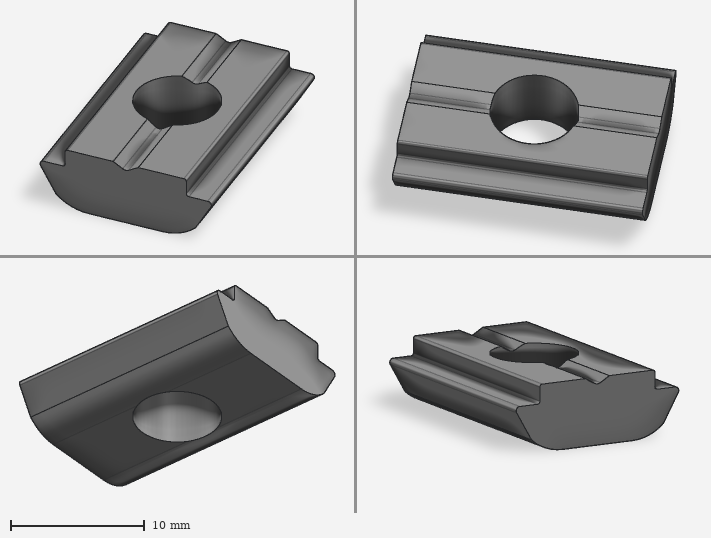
import cadquery as cq
import math

length = 19.0
width = 14.0
height = 5.2
neck_half_width = 4.95
neck_height = 1.5
neck_round = 0.2
flange_round = 0.3
flank_angle = math.radians(60)
base_half_width = 3.0
base_round = 3.99
groove_half_width = 1.03
groove_slope = math.radians(30)
groove_round = 0.5
hole_diameter = 6.65

half_width = width / 2
shoulder_z = height - neck_height


def flank_x(z):
    """Half width of the sloping flank at height z, tangent to the flange rounding."""
    center_x = half_width - flange_round
    center_z = shoulder_z - flange_round
    return center_x + flange_round / math.sin(flank_angle) + (z - center_z) / math.tan(flank_angle)


def base_corner_angle():
    """Angle swept by the base arc from the bottom up to where it meets the flank."""
    flank_distance = (flank_x(base_round) - base_half_width) * math.sin(flank_angle)
    return flank_angle - math.acos(flank_distance / base_round)


def base_arc_point(angle):
    """Point on the base arc, with the angle measured from its lowest point."""
    x = base_half_width + base_round * math.sin(angle)
    z = base_round * (1 - math.cos(angle))
    return x, z


def mirrored(point):
    return -point[0], point[1]


def make_body():
    corner_angle = base_corner_angle()
    corner = base_arc_point(corner_angle)
    arc_middle = base_arc_point(corner_angle / 2)
    flange_tip = (flank_x(shoulder_z), shoulder_z)
    neck_foot = (neck_half_width, shoulder_z)
    neck_top = (neck_half_width, height)
    groove_edge = (groove_half_width, height)
    groove_bottom = (0, height - groove_half_width * math.tan(groove_slope))

    body = (
        cq.Workplane("XZ")
        .moveTo(-base_half_width, 0)
        .lineTo(base_half_width, 0)
        .threePointArc(arc_middle, corner)
        .lineTo(*flange_tip)
        .lineTo(*neck_foot)
        .lineTo(*neck_top)
        .lineTo(*groove_edge)
        .lineTo(*groove_bottom)
        .lineTo(*mirrored(groove_edge))
        .lineTo(*mirrored(neck_top))
        .lineTo(*mirrored(neck_foot))
        .lineTo(*mirrored(flange_tip))
        .lineTo(*mirrored(corner))
        .threePointArc(mirrored(arc_middle), (-base_half_width, 0))
        .close()
        .extrude(length / 2, both=True)
    )
    for point, radius in (
        (flange_tip, flange_round),
        (neck_foot, neck_round),
        (neck_top, neck_round),
    ):
        for x, z in (point, mirrored(point)):
            body = body.edges(cq.NearestToPointSelector((x, 0, z))).fillet(radius)
    groove_middle = (groove_bottom[0], 0, groove_bottom[1])
    return body.edges(cq.NearestToPointSelector(groove_middle)).fillet(groove_round)


def make_hole():
    return cq.Workplane("XY").circle(hole_diameter / 2).extrude(height)


result = make_body().cut(make_hole())